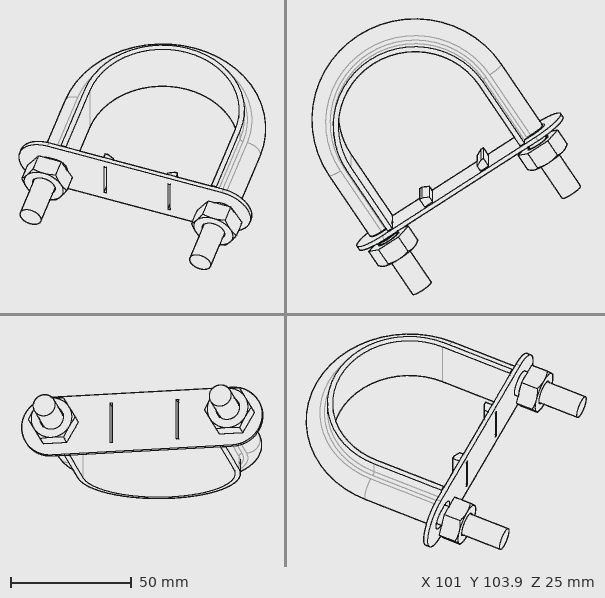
import cadquery as cq
import math


leg_offset = 37.0
bend_centre_y = 31.2
rod_diameter = 8.4
thread_diameter = 9.2
leg_end_y = -30.0

strip_width = 25.0
strip_inner_radius = 31.7
strip_outer_radius = 33.9
bead_radius = 5.7
bead_fillet = 1.2
liner_gap = 0.3
collar_diameter = 10.8
collar_projection = 2.0

plate_length = 101.0
plate_width = strip_width
plate_thickness = 1.9
plate_shift = -1.0
leg_slot_width = 10.0
leg_slot_length = 13.0

tab_centre = 13.8
tab_width = 3.9
tab_length = 20.0
slot_length = 17.0
tab_height = 3.8
tab_flat = 1.2
tab_slope = 0.5
slot_width = 1.0
slot_centre = 13.9
slot_roof = 1.0

nut_across_flats = 17.0
nut_thickness = 8.0
nut_bore = 10.0
nut_inner_y = -4.9
nut_chamfer_angle = 30.0


def cylinder_along_y(x, diameter, y_start, y_end):
    """Cylinder parallel to Y at the given X, between two Y positions."""
    length = abs(y_end - y_start)
    base = cq.Workplane("XZ", origin=(x, max(y_start, y_end), 0))
    return base.circle(diameter / 2).extrude(length)


def u_path(start_y):
    """Centre line of the rod from one leg end, round the bend, to the other."""
    return (
        cq.Workplane("XY")
        .moveTo(-leg_offset, start_y)
        .lineTo(-leg_offset, bend_centre_y)
        .threePointArc((0, bend_centre_y + leg_offset), (leg_offset, bend_centre_y))
        .lineTo(leg_offset, start_y)
    )


def u_rod(start_y):
    """Round rod bent to the U, with both legs ending at start_y."""
    section = cq.Workplane("XZ", origin=(-leg_offset, start_y, 0)).circle(rod_diameter / 2)
    return section.sweep(u_path(start_y))


def make_u_bolt():
    bolt = u_rod(nut_inner_y)
    for side in (-1, 1):
        bolt = bolt.union(cylinder_along_y(side * leg_offset, thread_diameter, nut_inner_y, leg_end_y))
    return bolt


def liner_profile():
    """Cross-section of strip and bead at the start of the bend: radius along X, width along Z."""
    half_width = strip_width / 2
    fillet_middle = bead_fillet * (1 - math.sqrt(0.5))
    return (
        cq.Workplane("XZ", origin=(0, bend_centre_y, 0))
        .moveTo(strip_inner_radius, -half_width)
        .lineTo(strip_outer_radius, -half_width)
        .lineTo(strip_outer_radius, -bead_radius - bead_fillet)
        .threePointArc(
            (strip_outer_radius + fillet_middle, -bead_radius - fillet_middle),
            (strip_outer_radius + bead_fillet, -bead_radius),
        )
        .lineTo(leg_offset, -bead_radius)
        .threePointArc((leg_offset + bead_radius, 0), (leg_offset, bead_radius))
        .lineTo(strip_outer_radius + bead_fillet, bead_radius)
        .threePointArc(
            (strip_outer_radius + fillet_middle, bead_radius + fillet_middle),
            (strip_outer_radius, bead_radius + bead_fillet),
        )
        .lineTo(strip_outer_radius, half_width)
        .lineTo(strip_inner_radius, half_width)
        .close()
    )


def make_liner():
    leg = liner_profile().extrude(bend_centre_y - liner_gap)
    bend = liner_profile().revolve(180, (0, 0), (0, 1))
    collar_end_y = -plate_thickness - collar_projection
    collar = cylinder_along_y(leg_offset, collar_diameter, liner_gap, collar_end_y)
    body = bend.union(leg).union(leg.mirror("YZ")).union(collar)
    return body.cut(u_rod(collar_end_y))


def tab(side):
    """Raised tab with a top that slopes down towards the middle of the plate."""
    outer_x = tab_centre + tab_width / 2
    inner_x = tab_centre - tab_width / 2
    inner_height = tab_height - tab_slope * (tab_width - tab_flat)
    return (
        cq.Workplane("XY", origin=(0, 0, -tab_length / 2))
        .moveTo(side * outer_x, 0)
        .lineTo(side * outer_x, tab_height)
        .lineTo(side * (outer_x - tab_flat), tab_height)
        .lineTo(side * inner_x, inner_height)
        .lineTo(side * inner_x, 0)
        .close()
        .extrude(tab_length)
    )


def tab_slot(side):
    """Blind slot from the outer plate face, with a floor parallel to the sloped tab top."""
    outer_x = slot_centre + slot_width / 2
    inner_x = slot_centre - slot_width / 2
    slope_start_x = tab_centre + tab_width / 2 - tab_flat

    def floor_y(x):
        return tab_height - slot_roof - tab_slope * (slope_start_x - x)

    return (
        cq.Workplane("XY", origin=(0, 0, -slot_length / 2))
        .moveTo(side * outer_x, -plate_thickness)
        .lineTo(side * outer_x, floor_y(outer_x))
        .lineTo(side * inner_x, floor_y(inner_x))
        .lineTo(side * inner_x, -plate_thickness)
        .close()
        .extrude(slot_length)
    )


def make_plate():
    plate = (
        cq.Workplane("XZ", origin=(plate_shift, 0, 0))
        .slot2D(plate_length, plate_width)
        .extrude(plate_thickness)
    )
    collar_hole = cylinder_along_y(leg_offset, collar_diameter, 0, -plate_thickness)
    rod_slot = (
        cq.Workplane("XZ", origin=(-leg_offset, 0, 0))
        .slot2D(leg_slot_length, leg_slot_width)
        .extrude(plate_thickness)
    )
    plate = plate.cut(collar_hole).cut(rod_slot)
    for side in (-1, 1):
        plate = plate.union(tab(side))
        plate = plate.cut(tab_slot(side))
    return plate


def make_nut(x):
    """Hexagon nut with corners chamfered by a cone on the outer end."""
    corner_radius = nut_across_flats / 2 / math.cos(math.radians(30))
    face_radius = nut_across_flats / 2
    chamfer_depth = (corner_radius - face_radius) * math.tan(math.radians(nut_chamfer_angle))
    outer_y = nut_inner_y - nut_thickness
    base = cq.Workplane("XZ", origin=(x, nut_inner_y, 0))
    hexagon = base.polygon(6, 2 * corner_radius).extrude(nut_thickness)
    chamfer_envelope = (
        cq.Workplane("XY", origin=(x, 0, 0))
        .moveTo(0, nut_inner_y)
        .lineTo(corner_radius, nut_inner_y)
        .lineTo(corner_radius, outer_y + chamfer_depth)
        .lineTo(face_radius, outer_y)
        .lineTo(0, outer_y)
        .close()
        .revolve(360, (0, 0), (0, 1))
    )
    bore = cylinder_along_y(x, nut_bore, nut_inner_y, outer_y)
    return hexagon.intersect(chamfer_envelope).cut(bore)


u_bolt = make_u_bolt()
liner = make_liner()
plate = make_plate()
nuts = [make_nut(side * leg_offset) for side in (-1, 1)]

result = cq.Compound.makeCompound(
    [u_bolt.val(), liner.val(), plate.val()] + [nut.val() for nut in nuts]
)